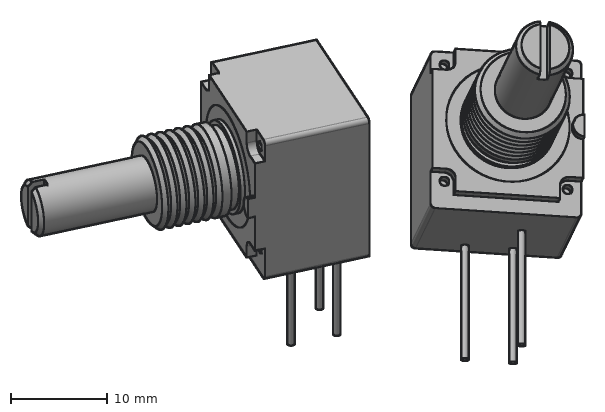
import cadquery as cq


HOUSING_WIDTH = 15.9
HOUSING_DEPTH = 12.7
BELOW_SQUARE = 1.6
HOUSING_EDGE_RADIUS = 0.5
STEP_DEPTH = 1.1
POCKET_OFFSET = 5.5
POCKET_RADIUS = 1.0
CORNER_HOLE_DIAMETER = 1.0
CORNER_HOLE_OFFSET = 6.5
CORNER_HOLE_DEPTH = 1.0
TAB_RADIUS = 1.2
TAB_HEIGHT = 0.8

FLANGE_DIAMETER = 13.0
FLANGE_THICKNESS = STEP_DEPTH
THREAD_DIAMETER = 10.0
ROOT_DIAMETER = 9.0
THREAD_PITCH = 1.0
THREAD_COUNT = 6
COLLAR_LENGTH = 0.5
GROOVE_WIDTH = 1.0
LAND_WIDTH = 1.0

SHAFT_DIAMETER = 6.0
SHAFT_CHAMFER = 0.5
OVERALL_LENGTH = 34.7
SLOT_WIDTH = 1.0
SLOT_DEPTH = 1.8

PIN_DIAMETER = 0.8
PIN_LENGTH = 12.65
PIN_SPACING = 5.05
REAR_PIN_INSET = 1.6

HALF_WIDTH = HOUSING_WIDTH / 2
HOUSING_BOTTOM = -HALF_WIDTH - BELOW_SQUARE
HOUSING_HEIGHT = HOUSING_WIDTH + BELOW_SQUARE
THREAD_START = COLLAR_LENGTH + GROOVE_WIDTH + LAND_WIDTH
BUSHING_LENGTH = THREAD_START + (THREAD_COUNT + 0.5) * THREAD_PITCH
SHAFT_REACH = OVERALL_LENGTH - HOUSING_DEPTH
REAR_PIN_Y = HOUSING_DEPTH - REAR_PIN_INSET
FRONT_PIN_Y = REAR_PIN_Y - PIN_SPACING
CORNERS = [(side, level) for side in (-1, 1) for level in (-1, 1)]


def cylinder_y(diameter, y_front, y_back, x=0, z=0):
    """Cylinder along Y between two Y positions."""
    return cq.Workplane(cq.Solid.makeCylinder(
        diameter / 2, y_back - y_front, cq.Vector(x, y_front, z), cq.Vector(0, 1, 0)))


def corner_pocket(side, level):
    """Block that clears one corner of the front plate, with its inner edge rounded."""
    size = HOUSING_WIDTH
    center = POCKET_OFFSET + size / 2
    block = cq.Workplane("XY").box(size, STEP_DEPTH, size).edges("|Y").fillet(POCKET_RADIUS)
    return block.translate((side * center, STEP_DEPTH / 2, level * center))


def make_housing():
    body = (
        cq.Workplane("XY")
        .box(HOUSING_WIDTH, HOUSING_DEPTH, HOUSING_HEIGHT)
        .edges("|Y").fillet(HOUSING_EDGE_RADIUS)
        .translate((0, HOUSING_DEPTH / 2, HOUSING_BOTTOM + HOUSING_HEIGHT / 2))
    )

    lower_step = (
        cq.Workplane("XY")
        .box(HOUSING_WIDTH, STEP_DEPTH, BELOW_SQUARE)
        .translate((0, STEP_DEPTH / 2, HOUSING_BOTTOM + BELOW_SQUARE / 2))
    )
    body = body.cut(lower_step)

    for side, level in CORNERS:
        hole = cylinder_y(
            CORNER_HOLE_DIAMETER, STEP_DEPTH, STEP_DEPTH + CORNER_HOLE_DEPTH,
            side * CORNER_HOLE_OFFSET, level * CORNER_HOLE_OFFSET)
        body = body.cut(corner_pocket(side, level)).cut(hole)

    tab = (
        cq.Workplane("XZ")
        .moveTo(HALF_WIDTH, -TAB_RADIUS)
        .threePointArc((HALF_WIDTH - TAB_RADIUS, 0), (HALF_WIDTH, TAB_RADIUS))
        .close()
        .extrude(TAB_HEIGHT)
    )
    body = body.union(tab)

    return body.cut(cylinder_y(FLANGE_DIAMETER, 0, FLANGE_THICKNESS))


def make_bushing():
    """Revolve the flange, collar, groove and ring-shaped thread in one profile."""
    bore_radius = SHAFT_DIAMETER / 2
    crest_radius = THREAD_DIAMETER / 2
    root_radius = ROOT_DIAMETER / 2
    groove_end = COLLAR_LENGTH + GROOVE_WIDTH

    profile = [
        (bore_radius, FLANGE_THICKNESS),
        (FLANGE_DIAMETER / 2, FLANGE_THICKNESS),
        (FLANGE_DIAMETER / 2, 0),
        (crest_radius, 0),
        (crest_radius, -COLLAR_LENGTH),
        (root_radius, -COLLAR_LENGTH),
        (root_radius, -groove_end),
        (crest_radius, -groove_end),
        (crest_radius, -THREAD_START),
    ]
    for turn in range(THREAD_COUNT):
        crest_y = -THREAD_START - (turn + 1) * THREAD_PITCH
        profile.append((root_radius, crest_y + THREAD_PITCH / 2))
        profile.append((crest_radius, crest_y))
    profile.append((root_radius, -BUSHING_LENGTH))
    profile.append((bore_radius, -BUSHING_LENGTH))
    return cq.Workplane("XY").polyline(profile).close().revolve(360, (0, 0, 0), (0, 1, 0))


def make_shaft():
    shaft = cylinder_y(SHAFT_DIAMETER, -SHAFT_REACH, FLANGE_THICKNESS)
    shaft = shaft.faces("<Y").chamfer(SHAFT_CHAMFER)
    slot = (
        cq.Workplane("XY")
        .box(SLOT_WIDTH, SLOT_DEPTH, SHAFT_DIAMETER)
        .translate((0, -SHAFT_REACH + SLOT_DEPTH / 2, 0))
    )
    return shaft.cut(slot)


def make_pin(x, y):
    """Terminal pin hanging from the underside of the housing."""
    return (
        cq.Workplane("XY", origin=(x, y, HOUSING_BOTTOM))
        .circle(PIN_DIAMETER / 2)
        .extrude(-PIN_LENGTH)
    )


housing = make_housing()
bushing = make_bushing()
shaft = make_shaft()

pin_places = [
    (-PIN_SPACING / 2, REAR_PIN_Y),
    (PIN_SPACING / 2, REAR_PIN_Y),
    (PIN_SPACING / 2, FRONT_PIN_Y),
]
pins = [make_pin(x, y) for x, y in pin_places]

result = cq.Compound.makeCompound(
    [housing.val(), bushing.val(), shaft.val(), *[pin.val() for pin in pins]])